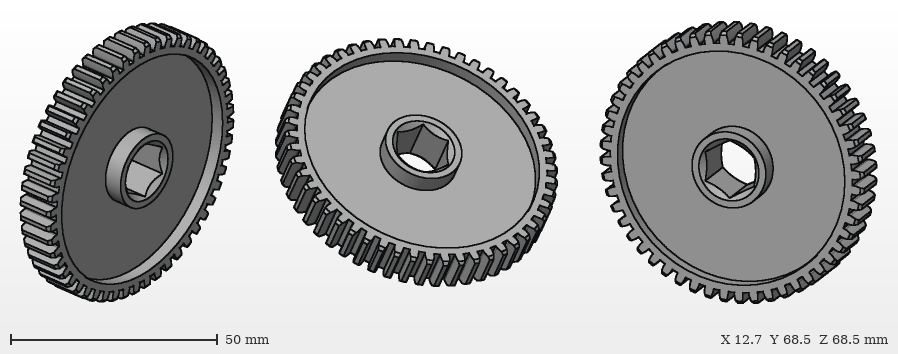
import cadquery as cq
import math


tooth_count = 52
pitch_radius = 66.05 / 2
pressure_angle = math.radians(14.5)
dedendum_ratio = 1.25
module = 2 * pitch_radius / tooth_count
tip_radius = pitch_radius + module
root_radius = pitch_radius - dedendum_ratio * module
base_radius = pitch_radius * math.cos(pressure_angle)
tooth_pitch_angle = 2 * math.pi / tooth_count
flank_steps = 5

rim_width = 9.7
tip_chamfer = 0.75
recess_radius = 29.5
web_thickness = 3.0

hub_length = 12.7
hub_radius = 9.6
hex_across_flats = 12.7
countersink_radius = 7.8


def polar(radius, angle):
    """Point in the YZ plane, with the angle measured from +Y towards +Z."""
    return (radius * math.cos(angle), radius * math.sin(angle))


def involute(angle):
    return math.tan(angle) - angle


def half_tooth_angle(radius):
    """Half of the angle that a tooth spans at a radius on its involute flank."""
    flank_angle = math.acos(base_radius / radius)
    return tooth_pitch_angle / 4 + involute(pressure_angle) - involute(flank_angle)


def centred_plane(width):
    """YZ plane from which an extrusion of the given width is centred on the origin."""
    return cq.Workplane("YZ", origin=(-width / 2, 0, 0))


def disc(radius, width):
    """Solid disc about the X axis, centred on the origin."""
    return centred_plane(width).circle(radius).extrude(width)


def make_toothed_blank():
    """Involute teeth on radial roots, with a gap centred on each of the Y and Z axes."""
    flank_radii = [
        base_radius + (tip_radius - base_radius) * step / flank_steps
        for step in range(flank_steps + 1)
    ]
    base_half_angle = half_tooth_angle(base_radius)
    first_centre = tooth_pitch_angle / 2
    outline = centred_plane(rim_width)
    outline = outline.moveTo(*polar(root_radius, first_centre - base_half_angle))
    for tooth in range(tooth_count):
        centre = first_centre + tooth * tooth_pitch_angle
        rising = [polar(r, centre - half_tooth_angle(r)) for r in flank_radii]
        falling = [polar(r, centre + half_tooth_angle(r)) for r in reversed(flank_radii)]
        next_tooth_start = centre + tooth_pitch_angle - base_half_angle
        outline = (
            outline.lineTo(*rising[0])
            .spline(rising[1:], includeCurrent=True)
            .threePointArc(polar(tip_radius, centre), falling[0])
            .spline(falling[1:], includeCurrent=True)
            .lineTo(*polar(root_radius, centre + base_half_angle))
            .threePointArc(
                polar(root_radius, centre + tooth_pitch_angle / 2),
                polar(root_radius, next_tooth_start),
            )
        )
    return outline.close().extrude(rim_width)


def make_recess(side):
    """Ring cleared between rim and hub on one face; side is -1 or 1 along X."""
    depth = (rim_width - web_thickness) / 2
    return (
        cq.Workplane("YZ")
        .workplane(offset=side * web_thickness / 2)
        .circle(recess_radius)
        .circle(hub_radius)
        .extrude(side * depth)
    )


def make_countersink(side):
    """45 degree cone that opens one end of the bore; side is -1 or 1 along X."""
    end = side * hub_length / 2
    apex = end - side * countersink_radius
    profile = cq.Workplane("XY").polyline([(apex, 0), (end, 0), (end, countersink_radius)]).close()
    return profile.revolve(360, (0, 0, 0), (1, 0, 0))


gear = make_toothed_blank().intersect(disc(tip_radius, rim_width).edges().chamfer(tip_chamfer))
gear = gear.union(disc(hub_radius, hub_length))

hex_across_corners = hex_across_flats / math.cos(math.pi / 6)
bore = (
    centred_plane(hub_length)
    .polygon(6, hex_across_corners)
    .extrude(hub_length)
    .rotate((0, 0, 0), (1, 0, 0), 90)
)
gear = gear.cut(bore)

for side in (-1, 1):
    gear = gear.cut(make_recess(side)).cut(make_countersink(side))

result = gear